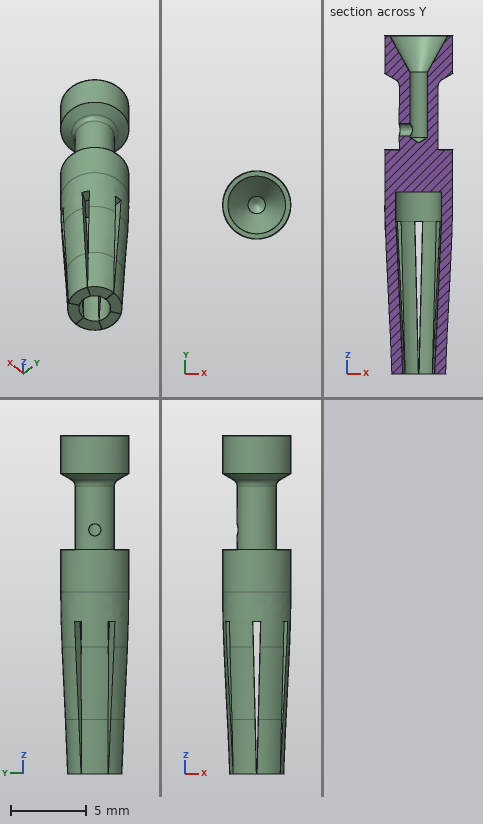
import cadquery as cq
import math

overall_length = 22.3
body_radius = 2.25

tip_band_z = 3.6
bend_end_z = 8.37
bend_start_z = 12.0
shoulder_z = 14.8
head_bottom_z = 19.8

bend_end_radius = 2.17
tip_band_radius = 1.94
tip_radius = 1.79

neck_radius = 1.3
head_cone_angle = 30.0
neck_fillet_radius = 0.45

funnel_radius = 1.9
funnel_depth = 2.4
wire_bore_radius = 0.57
wire_bore_bottom_z = 15.6
drill_half_angle = 59.0

inspection_radius = 0.4
inspection_z = 16.1

socket_bore_radius = 1.5
socket_bore_top_z = bend_start_z
socket_wall_at_tip = 0.75
slot_count = 6
slot_first_angle = 30.0
slot_length = 10.05
slot_root_width = 0.5
slot_tip_width = 0.02


def revolve_about_z(profile):
    """Turn a closed XZ profile (radius, height) about the Z axis."""
    return profile.close().revolve(360, (0, 0, 0), (0, 1, 0))


def make_body():
    """Turned outside shape: tapered sleeve, neck and head."""
    slope = math.radians(head_cone_angle)
    cone_bottom_z = head_bottom_z - (body_radius - neck_radius) * math.tan(slope)

    turn = math.pi / 2 - slope
    tangent_length = neck_fillet_radius * math.tan(turn / 2)
    centre_r = neck_radius + neck_fillet_radius
    centre_z = cone_bottom_z - tangent_length
    fillet_mid = (
        centre_r - neck_fillet_radius * math.cos(turn / 2),
        centre_z + neck_fillet_radius * math.sin(turn / 2),
    )
    fillet_end = (
        centre_r - neck_fillet_radius * math.cos(turn),
        centre_z + neck_fillet_radius * math.sin(turn),
    )

    profile = (
        cq.Workplane("XZ")
        .moveTo(0, overall_length)
        .lineTo(body_radius, overall_length)
        .lineTo(body_radius, head_bottom_z)
        .lineTo(*fillet_end)
        .threePointArc(fillet_mid, (neck_radius, centre_z))
        .lineTo(neck_radius, shoulder_z)
        .lineTo(body_radius, shoulder_z)
        .lineTo(body_radius, bend_start_z)
        .tangentArcPoint((bend_end_radius, bend_end_z), relative=False)
        .lineTo(tip_band_radius, tip_band_z)
        .lineTo(tip_radius, 0)
        .lineTo(0, 0)
    )
    return revolve_about_z(profile)


def make_wire_entry():
    """Funnel leading into the wire bore, which ends in a drill point."""
    funnel_bottom_z = overall_length - funnel_depth
    drill_depth = wire_bore_radius / math.tan(math.radians(drill_half_angle))
    profile = (
        cq.Workplane("XZ")
        .moveTo(0, overall_length)
        .lineTo(funnel_radius, overall_length)
        .lineTo(wire_bore_radius, funnel_bottom_z)
        .lineTo(wire_bore_radius, wire_bore_bottom_z)
        .lineTo(0, wire_bore_bottom_z - drill_depth)
    )
    return revolve_about_z(profile)


def make_inspection_hole():
    """Radial hole from the -X side into the wire bore."""
    return (
        cq.Workplane("YZ")
        .center(0, inspection_z)
        .circle(inspection_radius)
        .extrude(-body_radius)
    )


def make_socket_bore():
    """Blind bore in the sleeve, closing in towards the tip with the tines."""
    profile = (
        cq.Workplane("XZ")
        .moveTo(0, 0)
        .lineTo(tip_radius - socket_wall_at_tip, 0)
        .lineTo(socket_bore_radius, slot_length)
        .lineTo(socket_bore_radius, socket_bore_top_z)
        .lineTo(0, socket_bore_top_z)
    )
    return revolve_about_z(profile)


def make_slot(angle):
    """Radial slot that narrows from its root to the tip of the sleeve."""
    return (
        cq.Workplane("YZ")
        .moveTo(-slot_tip_width / 2, 0)
        .lineTo(slot_tip_width / 2, 0)
        .lineTo(slot_root_width / 2, slot_length)
        .lineTo(-slot_root_width / 2, slot_length)
        .close()
        .extrude(2 * body_radius)
        .rotate((0, 0, 0), (0, 0, 1), angle)
    )


result = make_body()
result = result.cut(make_wire_entry())
result = result.cut(make_inspection_hole())
result = result.cut(make_socket_bore())
for index in range(slot_count):
    result = result.cut(make_slot(slot_first_angle + index * 360 / slot_count))